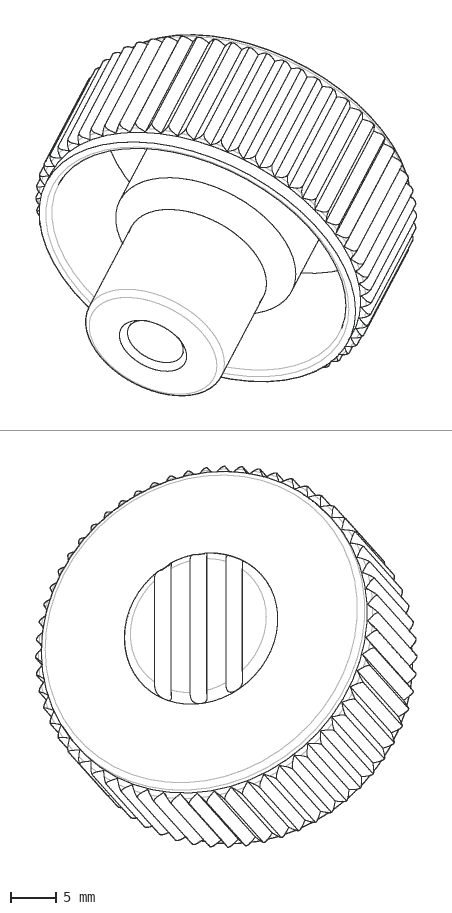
import cadquery as cq
import math

TOTAL_LENGTH = 31.0
CAP_HEIGHT = 1.0
DISC_LENGTH = 17.0
KNURL_LENGTH = 14
RIM_STEP = (DISC_LENGTH - KNURL_LENGTH) / 2
CAP_BASE_Y = -CAP_HEIGHT
DISC_FRONT_Y = CAP_BASE_Y - DISC_LENGTH
HUB_END_Y = -TOTAL_LENGTH

DISC_RADIUS = 37.7 / 2
DISC_BACK_FILLET = 0.65
CUP_RADIUS = 35.05 / 2
CUP_LIP_FILLET = 0.5
CUP_FLOOR_Y = CAP_BASE_Y - RIM_STEP

HUB_RADIUS = 16.5 / 2
HUB_ROOT_RADIUS = 21.45 / 2
HUB_END_FILLET = 0.65
CONE_LENGTH = HUB_ROOT_RADIUS - HUB_RADIUS

BORE_RADIUS = 6.65 / 2
BORE_MOUTH_RADIUS = 4
BORE_DEPTH = 20

KNURL_RADIUS = 40 / 2
TOOTH_COUNT = 60
KNURL_END_FILLET = 0.5
KNURL_BACK_Y = CAP_BASE_Y - RIM_STEP

CAP_RADIUS = 8.9
CAP_FILLET = 1.0
CAP_OVERLAP = 0.4
GROOVE_RADIUS = 0.95
GROOVE_PITCH = 4.15
GROOVE_COUNT = 3


def cylinder(radius, back_y, length):
    """Cylinder on the Y axis running from back_y toward -Y."""
    return cq.Workplane("XZ", origin=(0, back_y, 0)).circle(radius).extrude(length)


def make_disc():
    disc = cylinder(DISC_RADIUS, CAP_BASE_Y, DISC_LENGTH).faces(">Y").edges().fillet(DISC_BACK_FILLET)
    cup = cylinder(CUP_RADIUS, CUP_FLOOR_Y, CUP_FLOOR_Y - DISC_FRONT_Y)
    disc = disc.cut(cup)
    return disc.faces("<Y").edges(cq.selectors.RadiusNthSelector(0)).fillet(CUP_LIP_FILLET)


def make_knurl():
    half_pitch = math.pi / TOOTH_COUNT
    root_radius = KNURL_RADIUS * (math.cos(half_pitch) - math.sin(half_pitch))
    outline = []
    for tooth in range(TOOTH_COUNT):
        tip_angle = 2 * half_pitch * tooth
        for radius, angle in ((KNURL_RADIUS, tip_angle), (root_radius, tip_angle + half_pitch)):
            outline.append((radius * math.cos(angle), radius * math.sin(angle)))
    teeth = cq.Workplane("XZ", origin=(0, KNURL_BACK_Y, 0)).polyline(outline).close().extrude(KNURL_LENGTH)
    rounded = cylinder(KNURL_RADIUS, KNURL_BACK_Y, KNURL_LENGTH).edges().fillet(KNURL_END_FILLET)
    inside = cylinder((CUP_RADIUS + DISC_RADIUS) / 2, KNURL_BACK_Y, KNURL_LENGTH)
    return teeth.intersect(rounded).cut(inside)


def revolved(outline):
    """Solid of revolution about the Y axis from (radius, y) points."""
    return cq.Workplane("XY").polyline(outline).close().revolve(360, (0, 0, 0), (0, 1, 0))


def make_hub():
    hub = revolved([
        (0, CUP_FLOOR_Y),
        (HUB_ROOT_RADIUS, CUP_FLOOR_Y),
        (HUB_ROOT_RADIUS, DISC_FRONT_Y + CONE_LENGTH),
        (HUB_RADIUS, DISC_FRONT_Y),
        (HUB_RADIUS, HUB_END_Y),
        (0, HUB_END_Y),
    ])
    return hub.faces("<Y").edges().fillet(HUB_END_FILLET)


def make_bore():
    countersink_depth = BORE_MOUTH_RADIUS - BORE_RADIUS
    bore_floor_y = HUB_END_Y + BORE_DEPTH
    return revolved([
        (0, HUB_END_Y),
        (BORE_MOUTH_RADIUS, HUB_END_Y),
        (BORE_RADIUS, HUB_END_Y + countersink_depth),
        (BORE_RADIUS, bore_floor_y),
        (0, bore_floor_y),
    ])


def make_cap():
    cap = cylinder(CAP_RADIUS, 0, CAP_HEIGHT + CAP_OVERLAP).faces(">Y").edges().fillet(CAP_FILLET)
    for index in range(GROOVE_COUNT):
        x = (index - (GROOVE_COUNT - 1) / 2) * GROOVE_PITCH
        groove = cq.Workplane("XY", origin=(x, 0, -CAP_RADIUS)).circle(GROOVE_RADIUS).extrude(2 * CAP_RADIUS)
        cap = cap.cut(groove)
    return cap


result = make_disc().union(make_knurl()).union(make_hub()).union(make_cap()).cut(make_bore())